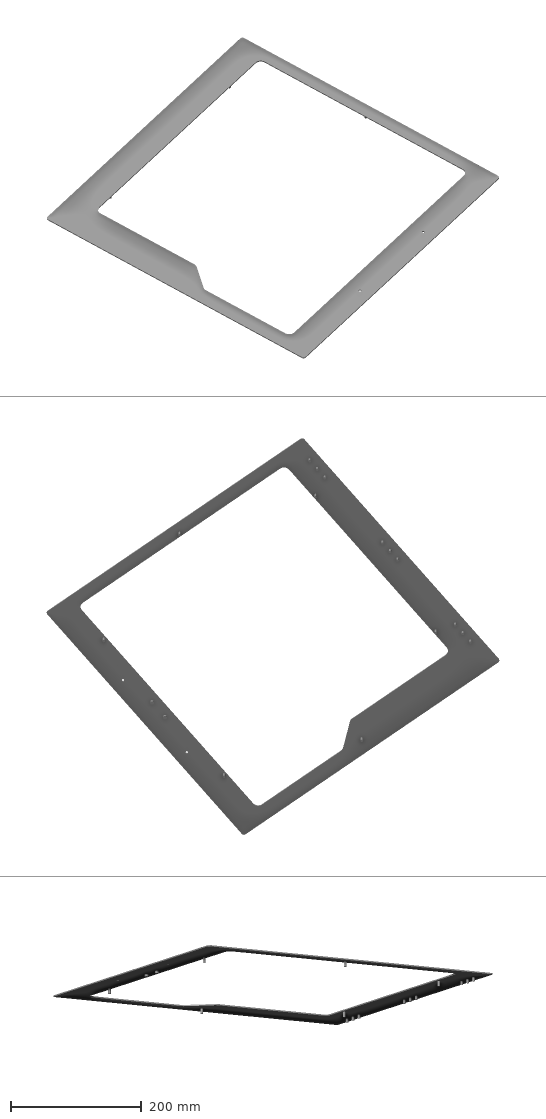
import cadquery as cq

plate_length = 498.0
plate_width = 494.0
plate_thickness = 2.0
total_height = 10.0
plate_corner_radius = 4.0

window_left = -198.5
window_right = 203.0
window_top = 225.5
window_bottom = -221.5
window_step_height = 34.0
window_step_start = -4.5
window_step_end = 37.0
window_corner_radius = 10.0

hole_diameter = 4.0
hole_x = 228.0
hole_pitch = 159.5
hole_center_y = 1.0

side_stud_diameter = 4.0
side_stud_length = 6.0
side_stud_x = -234.5
side_stud_center_y = 10.0
side_stud_pitch = 19.0
side_group_pitch = 182.0

window_stud_diameter = 4.0
window_stud_length = total_height - plate_thickness
window_stud_center_x = 1.5
window_stud_half_span = 205.0
window_stud_upper_y = 156.5
window_stud_lower_y = -144.0
window_stud_top_y = 231.5
window_stud_bottom_y = -223.5

pad_x = 216.0
pad_center_y = 7.5
pad_pitch = 32.5
pad_diameter = 6.0
pad_length = 3.5


def disc(x, y, top_z, diameter, length):
    """Vertical cylinder hanging down from top_z."""
    return cq.Workplane("XY", origin=(x, y, top_z)).circle(diameter / 2).extrude(-length)


def make_plate():
    """Rounded rectangular sheet with its top face at z = 0."""
    return (
        cq.Workplane("XY")
        .rect(plate_length, plate_width)
        .extrude(-plate_thickness)
        .edges("|Z")
        .fillet(plate_corner_radius)
    )


def make_window():
    """Window cutter whose bottom edge steps down through a sloped stretch."""
    step_y = window_bottom + window_step_height
    corners = [
        (window_left, window_top),
        (window_right, window_top),
        (window_right, window_bottom),
        (window_step_end, window_bottom),
        (window_step_start, step_y),
        (window_left, step_y),
    ]
    outline = cq.Workplane("XY").polyline(corners).close()
    return outline.extrude(-plate_thickness).edges("|Z").fillet(window_corner_radius)


def window_stud_places():
    """Centres of two studs on each side rail and one stud on each end rail."""
    left_x = window_stud_center_x - window_stud_half_span
    right_x = window_stud_center_x + window_stud_half_span
    places = [
        (window_stud_center_x, window_stud_top_y),
        (window_stud_center_x, window_stud_bottom_y),
    ]
    for x in (left_x, right_x):
        for y in (window_stud_upper_y, window_stud_lower_y):
            places.append((x, y))
    return places


result = make_plate().cut(make_window())

for side in (-1, 1):
    hole_y = hole_center_y + side * hole_pitch / 2
    result = result.cut(disc(hole_x, hole_y, 0, hole_diameter, plate_thickness))

underside_z = -plate_thickness

for group in (-1, 0, 1):
    for place in (-1, 0, 1):
        stud_y = side_stud_center_y + group * side_group_pitch + place * side_stud_pitch
        result = result.union(disc(side_stud_x, stud_y, underside_z, side_stud_diameter, side_stud_length))

for stud_x, stud_y in window_stud_places():
    stud = disc(stud_x, stud_y, underside_z, window_stud_diameter, window_stud_length)
    result = result.union(stud)

for side in (-1, 1):
    pad_y = pad_center_y + side * pad_pitch / 2
    result = result.union(disc(pad_x, pad_y, underside_z, pad_diameter, pad_length))